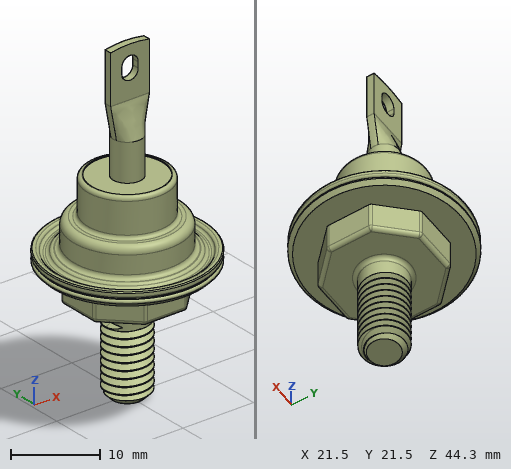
import cadquery as cq
import math

pitch = 1.0
stud_radius = 3 * pitch
stud_chamfer = pitch
thread_sharp_height = pitch * math.sqrt(3) / 2
thread_depth = 7 / 8 * thread_sharp_height
groove_half_angle = math.radians(30)
groove_overshoot = 0.05
thread_end_z = 10.0
thread_turns = 10.5

drive_bottom_z = 12.5
drive_across_flats = 14.0
drive_sides = 8
edge_round = 0.55

disc_bottom_z = 16.52
disc_top_z = 17.45
flange_bottom_z = 17.65
rim_round = 0.3
flange_top_z = 18.5
flange_radius = 10.743
disc_chamfer = 0.55
flange_top_chamfer = 0.15
rim_inner_radius = 10.2
channel_outer_radius = 9.4
channel_inner_radius = 9.13
channel_floor_z = 18.0

cap_radius = 7.55
cap_foot_round = 0.58
cap_foot_z = 18.47
cap_foot_ledge = 0.1
cap_shoulder_z = 22.5
cap_shoulder_round = 0.97
neck_radius = 5.6
neck_foot_round = 0.5
cap_top_z = 27.78
cap_recess_radius = 4.95
cap_recess_depth = 0.15

pin_radius = 2.0
taper_bottom_z = 32.8
blade_bottom_z = 37.3
blade_width = 5.5
blade_thickness = 1.0
blade_crown = 0.25
total_height = 44.3
slot_width = 2.3
slot_length = 3.1
slot_z = 41.3

overlap = 0.45


def point_on_round(center_r, center_z, radius, angle_deg):
    """Point (r, z) on a round at the given angle around its centre."""
    angle = math.radians(angle_deg)
    return center_r + radius * math.cos(angle), center_z + radius * math.sin(angle)


def s_curve(profile, start, end):
    """Add two equal tangent arcs that join start to end through their midpoint."""
    middle = ((start[0] + end[0]) / 2, (start[1] + end[1]) / 2)
    return profile.tangentArcPoint(middle, relative=False).tangentArcPoint(end, relative=False)


def make_cap_and_disc():
    """Revolve the base disc, the channelled flange and the stepped cap."""
    cap_foot_radius = cap_radius + cap_foot_round
    ledge_radius = cap_foot_radius + cap_foot_ledge
    shoulder_radius = cap_radius - cap_shoulder_round
    neck_foot_radius = neck_radius + neck_foot_round
    gap_radius = flange_radius - rim_round
    profile = (
        cq.Workplane("XZ")
        .moveTo(0, disc_bottom_z)
        .lineTo(flange_radius - disc_chamfer, disc_bottom_z)
        .lineTo(flange_radius, disc_bottom_z + disc_chamfer)
        .lineTo(flange_radius, disc_top_z - rim_round)
        .threePointArc(
            point_on_round(gap_radius, disc_top_z - rim_round, rim_round, 45),
            (gap_radius, disc_top_z),
        )
        .lineTo(gap_radius, flange_bottom_z)
        .threePointArc(
            point_on_round(gap_radius, flange_bottom_z + rim_round, rim_round, -45),
            (flange_radius, flange_bottom_z + rim_round),
        )
        .lineTo(flange_radius, flange_top_z - flange_top_chamfer)
        .lineTo(flange_radius - flange_top_chamfer, flange_top_z)
        .lineTo(rim_inner_radius, flange_top_z)
    )
    profile = s_curve(profile, (rim_inner_radius, flange_top_z), (channel_outer_radius, channel_floor_z))
    profile = profile.lineTo(channel_inner_radius, channel_floor_z)
    profile = s_curve(profile, (channel_inner_radius, channel_floor_z), (ledge_radius, cap_foot_z))
    profile = (
        profile.lineTo(cap_foot_radius, cap_foot_z)
        .threePointArc(
            point_on_round(cap_foot_radius, cap_foot_z + cap_foot_round, cap_foot_round, 225),
            (cap_radius, cap_foot_z + cap_foot_round),
        )
        .lineTo(cap_radius, cap_shoulder_z - cap_shoulder_round)
        .threePointArc(
            point_on_round(shoulder_radius, cap_shoulder_z - cap_shoulder_round, cap_shoulder_round, 45),
            (shoulder_radius, cap_shoulder_z),
        )
        .lineTo(neck_foot_radius, cap_shoulder_z)
        .threePointArc(
            point_on_round(neck_foot_radius, cap_shoulder_z + neck_foot_round, neck_foot_round, 225),
            (neck_radius, cap_shoulder_z + neck_foot_round),
        )
        .lineTo(neck_radius, cap_top_z - edge_round)
        .threePointArc(
            point_on_round(neck_radius - edge_round, cap_top_z - edge_round, edge_round, 45),
            (neck_radius - edge_round, cap_top_z),
        )
        .lineTo(cap_recess_radius, cap_top_z)
        .lineTo(cap_recess_radius, cap_top_z - cap_recess_depth)
        .lineTo(0, cap_top_z - cap_recess_depth)
        .close()
    )
    return profile.revolve(360, (0, 0, 0), (0, 1, 0))


def make_drive():
    """Octagon with two flats facing X, rounded corners and a rounded lower edge."""
    across_corners = drive_across_flats / math.cos(math.pi / drive_sides)
    return (
        cq.Workplane("XY")
        .workplane(offset=drive_bottom_z)
        .transformed(rotate=(0, 0, 180 / drive_sides))
        .polygon(drive_sides, across_corners)
        .extrude(disc_bottom_z + overlap - drive_bottom_z)
        .edges("|Z")
        .fillet(edge_round)
        .faces("<Z")
        .edges()
        .fillet(edge_round)
    )


def make_stud():
    """Plain stud with a chamfered tip and a round where it meets the drive."""
    root_z = drive_bottom_z - edge_round
    return (
        cq.Workplane("XZ")
        .lineTo(stud_radius - stud_chamfer, 0)
        .lineTo(stud_radius, stud_chamfer)
        .lineTo(stud_radius, root_z)
        .threePointArc(
            point_on_round(stud_radius + edge_round, root_z, edge_round, 135),
            (stud_radius + edge_round, drive_bottom_z),
        )
        .lineTo(stud_radius + edge_round, drive_bottom_z + overlap)
        .lineTo(0, drive_bottom_z + overlap)
        .close()
        .revolve(360, (0, 0, 0), (0, 1, 0))
    )


def groove_profile(side, center_z):
    """60 degree V on the +X (side = 1) or -X (side = -1) of the stud, open past its surface."""
    root_radius = stud_radius - thread_depth
    outer_radius = stud_radius + groove_overshoot
    half_width = (outer_radius - root_radius) * math.tan(groove_half_angle)
    return (
        cq.Workplane("XZ")
        .moveTo(side * root_radius, center_z)
        .lineTo(side * outer_radius, center_z + half_width)
        .lineTo(side * outer_radius, center_z - half_width)
        .close()
    )


def cut_thread(stud):
    """Cut a right-hand V groove that leaves the stud along a straight tangent on the -X side."""
    height = thread_turns * pitch
    start_z = thread_end_z - height
    helix = cq.Wire.makeHelix(pitch, height, stud_radius, center=cq.Vector(0, 0, start_z))
    groove = groove_profile(1, start_z).sweep(cq.Workplane(obj=helix), isFrenet=True)
    run_out = groove_profile(-1, thread_end_z).extrude(stud_radius)
    return stud.cut(groove).cut(run_out)


def make_terminal():
    """Round pin that flattens into a slotted solder blade with a crowned tip."""
    half_thickness = blade_thickness / 2
    half_width = blade_width / 2
    chord_x = math.sqrt(pin_radius**2 - half_thickness**2)
    shoulder_z = total_height - blade_crown
    pin_bottom_z = cap_top_z - cap_recess_depth - overlap
    pin = (
        cq.Workplane("XY")
        .workplane(offset=pin_bottom_z)
        .circle(pin_radius)
        .extrude(taper_bottom_z - pin_bottom_z)
    )
    taper = (
        cq.Workplane("XY")
        .workplane(offset=taper_bottom_z)
        .moveTo(chord_x, -half_thickness)
        .threePointArc((pin_radius, 0), (chord_x, half_thickness))
        .threePointArc((0, pin_radius), (-chord_x, half_thickness))
        .threePointArc((-pin_radius, 0), (-chord_x, -half_thickness))
        .threePointArc((0, -pin_radius), (chord_x, -half_thickness))
        .close()
        .workplane(offset=blade_bottom_z - taper_bottom_z)
        .moveTo(half_width, -half_thickness)
        .lineTo(half_width, half_thickness)
        .lineTo(-half_width, half_thickness)
        .lineTo(-half_width, -half_thickness)
        .close()
        .loft(ruled=True)
    )
    blade = (
        cq.Workplane("XZ")
        .moveTo(-half_width, blade_bottom_z)
        .lineTo(half_width, blade_bottom_z)
        .lineTo(half_width, shoulder_z)
        .threePointArc((0, total_height), (-half_width, shoulder_z))
        .close()
        .extrude(half_thickness, both=True)
    )
    slot = (
        cq.Workplane("XZ")
        .center(0, slot_z)
        .slot2D(slot_length, slot_width, 90)
        .extrude(blade_thickness, both=True)
    )
    return pin.union(taper).union(blade).cut(slot)


threaded_stud = cut_thread(make_stud())
result = make_cap_and_disc().union(make_drive()).union(threaded_stud).union(make_terminal())